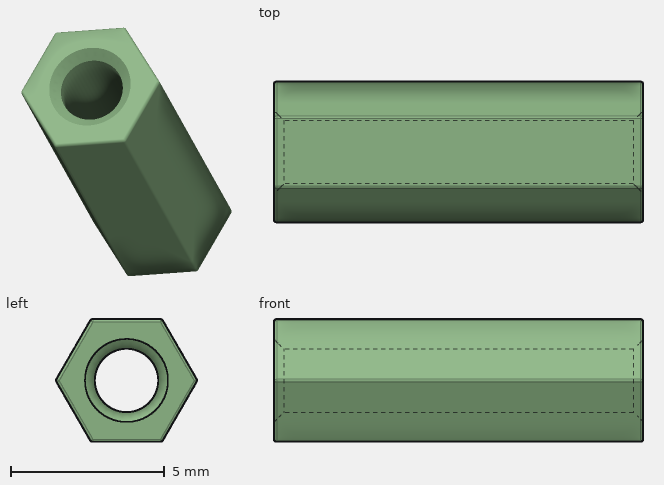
import cadquery as cq
import math

length = 12.0
across_flats = 4.0
edge_radius = 0.1

bore_diameter = 2.05
countersink_diameter = 2.7
countersink_depth = (countersink_diameter - bore_diameter) / 2

across_corners = across_flats / math.cos(math.pi / 6)


def rounded_hex_bar():
    """Hexagonal bar centred on the origin with every outer edge rounded."""
    bar = cq.Workplane("YZ").polygon(6, across_corners).extrude(length / 2, both=True)
    return bar.edges().fillet(edge_radius)


def countersunk_bore():
    """Cutting body for the bore, revolved about X from its half profile."""
    half_length = length / 2
    bore_radius = bore_diameter / 2
    mouth_radius = countersink_diameter / 2
    profile = (
        cq.Workplane("XY")
        .moveTo(-half_length, 0)
        .lineTo(-half_length, mouth_radius)
        .lineTo(-half_length + countersink_depth, bore_radius)
        .lineTo(half_length - countersink_depth, bore_radius)
        .lineTo(half_length, mouth_radius)
        .lineTo(half_length, 0)
        .close()
    )
    return profile.revolve(360, (0, 0, 0), (1, 0, 0))


result = rounded_hex_bar().cut(countersunk_bore())